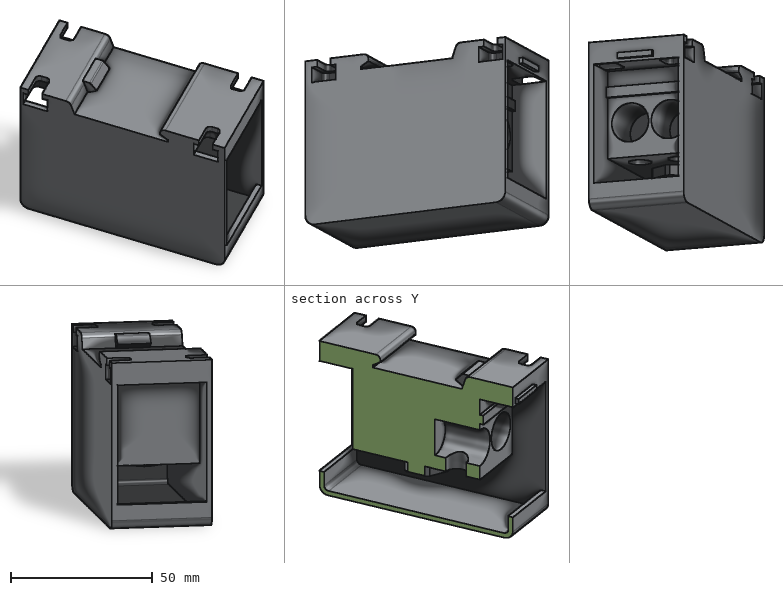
import cadquery as cq
import math

LENGTH = 78.11
WIDTH = 36.0
HEIGHT = 60.0
WALL = 2.0
TOP_THICKNESS = 8.0
BASE_EDGE_RADIUS = 3.5

END_WALL = 2.0
CAVITY_EDGE_RADIUS = 1.75
WINDOW_SILL = 9.0

RECESS_FLOOR = HEIGHT - 5.4
RECESS_START = 20.75
RECESS_END = 56.4
RECESS_SLOPE = math.radians(19.0)
LIP_RADIUS = 2.0
LEFT_EDGE_RADIUS = 2.25
LIP_TIP_X = 53.4
LIP_TIP_BOTTOM = HEIGHT - 2.75
UNDERCUT_TOP = HEIGHT - 4.45

LATCH_WIDTH = 12.0
LATCH_TOP = HEIGHT - 0.6
LATCH_BACK_X = 18.75
LATCH_SHOULDER_X = 21.67
LATCH_SHOULDER_RADIUS = 0.75
LATCH_TIP_X = 24.25
LATCH_TIP_Z = HEIGHT - 3.45
LATCH_FOOT_X = 21.3

SLOT_CENTERS_X = (5.7, 70.9)
SLOT_WIDTH = 5.2
SLOT_DEPTH = 8.0
SLOT_END_RADIUS = 1.6
SLOT_LIP = 2.5
POCKET_MARGIN = 2.05
POCKET_END_RADIUS = 2.05

TAB_LENGTH = 1.5
TAB_WIDTH = 13.0
TAB_BOTTOM = HEIGHT - 6.9
TAB_TOP = HEIGHT - 4.9

BLOCK_INSET = 13.4
BLOCK_BOTTOM = HEIGHT - 39.5
BLOCK_RIB_BOTTOM = HEIGHT - 17.6
BLOCK_RIB_TOP = HEIGHT - 13.9
RIB_PROJECTION = 1.35
BORE_RADIUS = 7.0
BORE_SPACING = 15.0
BORE_Z = HEIGHT - 27.0
BORE_DEPTH = 18.0
SCREW_HOLE_RADIUS = 4.1
SCREW_HOLE_SETBACK = 9.6

HEX_SIDES = 6
HEX_ACROSS_FLATS = 15.8
HEX_CORNER_FLAT = 1.7
HEX_HEIGHT = 3.7

CEILING = HEIGHT - TOP_THICKNESS
INNER_WIDTH = WIDTH - 2 * WALL


def box(x_min, x_max, width, z_min, z_max):
    """Box centred on the middle plane."""
    size = (x_max - x_min, width, z_max - z_min)
    return cq.Workplane("XY").box(*size, centered=(False, True, False)).translate((x_min, 0, z_min))


def extrude_profile(profile, width):
    """Extrude an XZ profile symmetrically about the middle plane."""
    return profile.extrude(width / 2, both=True)


def make_shell():
    shell = box(0, LENGTH, WIDTH, 0, HEIGHT)
    shell = shell.faces("<Z").edges("|Y").fillet(BASE_EDGE_RADIUS)
    cavity = box(END_WALL, LENGTH - END_WALL, INNER_WIDTH, WALL, CEILING)
    cavity = cavity.faces("<Z").edges("|Y").fillet(CAVITY_EDGE_RADIUS)
    windows = box(0, LENGTH, INNER_WIDTH, WINDOW_SILL, CEILING)
    return shell.cut(cavity).cut(windows)


def make_rail_recess():
    turn = math.pi / 2 - RECESS_SLOPE
    corner_x = RECESS_START - (HEIGHT - RECESS_FLOOR) * math.tan(RECESS_SLOPE)
    tangent = LEFT_EDGE_RADIUS * math.tan(turn / 2)
    arc_start_x = corner_x - tangent
    arc_mid = (
        arc_start_x + LEFT_EDGE_RADIUS * math.sin(turn / 2),
        HEIGHT - LEFT_EDGE_RADIUS * (1 - math.cos(turn / 2)),
    )
    arc_end = (
        corner_x + tangent * math.sin(RECESS_SLOPE),
        HEIGHT - tangent * math.cos(RECESS_SLOPE),
    )
    lip_mid_offset = LIP_RADIUS * (1 - math.sqrt(0.5))
    profile = (
        cq.Workplane("XZ")
        .moveTo(arc_start_x, HEIGHT)
        .threePointArc(arc_mid, arc_end)
        .lineTo(RECESS_START, RECESS_FLOOR)
        .lineTo(RECESS_END, RECESS_FLOOR)
        .lineTo(RECESS_END, UNDERCUT_TOP)
        .lineTo(LIP_TIP_X, LIP_TIP_BOTTOM)
        .lineTo(LIP_TIP_X, HEIGHT - LIP_RADIUS)
        .threePointArc(
            (LIP_TIP_X + lip_mid_offset, HEIGHT - lip_mid_offset),
            (LIP_TIP_X + LIP_RADIUS, HEIGHT),
        )
        .close()
    )
    return extrude_profile(profile, WIDTH)


def make_latch():
    profile = (
        cq.Workplane("XZ")
        .moveTo(LATCH_BACK_X, LATCH_TOP)
        .lineTo(LATCH_SHOULDER_X, LATCH_TOP)
        .lineTo(LATCH_TIP_X, LATCH_TIP_Z)
        .lineTo(LATCH_FOOT_X, RECESS_FLOOR)
        .lineTo(LATCH_BACK_X, RECESS_FLOOR)
        .close()
    )
    latch = extrude_profile(profile, LATCH_WIDTH)
    shoulder = cq.selectors.NearestToPointSelector((LATCH_SHOULDER_X, 0, LATCH_TOP))
    return latch.edges(shoulder).fillet(LATCH_SHOULDER_RADIUS)


def make_edge_notch(center_x, width, depth, end_radius, z_min, z_max):
    """Notch running in from the front edge, with rounded inner corners."""
    notch = cq.Workplane("XY").box(width, depth, z_max - z_min, centered=(True, False, False))
    notch = notch.faces(">Y").edges("|Z").fillet(end_radius)
    return notch.translate((center_x, -WIDTH / 2, z_min))


def make_mounting_slot(center_x):
    slot = make_edge_notch(center_x, SLOT_WIDTH, SLOT_DEPTH, SLOT_END_RADIUS, CEILING, HEIGHT)
    pocket = make_edge_notch(
        center_x,
        SLOT_WIDTH + 2 * POCKET_MARGIN,
        SLOT_DEPTH + POCKET_MARGIN,
        POCKET_END_RADIUS,
        CEILING,
        HEIGHT - SLOT_LIP,
    )
    return slot.union(pocket)


def make_tab():
    return box(-TAB_LENGTH, 0, TAB_WIDTH, TAB_BOTTOM, TAB_TOP)


def make_hex_boss():
    across_corners = HEX_ACROSS_FLATS / math.cos(math.pi / HEX_SIDES)
    corner_cut = HEX_CORNER_FLAT / 2 * math.tan(math.pi / HEX_SIDES)
    across_corner_flats = across_corners - 2 * corner_cut
    boss = cq.Workplane("XY").polygon(HEX_SIDES, across_corners).extrude(HEX_HEIGHT)
    band = box(-across_corner_flats / 2, across_corner_flats / 2, 2 * across_corners, 0, HEX_HEIGHT)
    for corner_pair in range(HEX_SIDES // 2):
        turn = 360 / HEX_SIDES * corner_pair
        boss = boss.intersect(band.rotate((0, 0, 0), (0, 0, 1), turn))
    return boss.translate((LENGTH / 2, 0, BLOCK_BOTTOM - HEX_HEIGHT))


def make_terminal_block():
    block = box(BLOCK_INSET, LENGTH - BLOCK_INSET, INNER_WIDTH, BLOCK_BOTTOM, CEILING)
    rib_inset = BLOCK_INSET - RIB_PROJECTION
    rib = box(rib_inset, BLOCK_INSET, INNER_WIDTH, BLOCK_RIB_BOTTOM, BLOCK_RIB_TOP)
    block = block.union(rib)
    for bore_y in (-BORE_SPACING / 2, BORE_SPACING / 2):
        bore = cq.Workplane("YZ").circle(BORE_RADIUS).extrude(BORE_DEPTH)
        block = block.cut(bore.translate((BLOCK_INSET, bore_y, BORE_Z)))
        screw_hole = cq.Workplane("XY").circle(SCREW_HOLE_RADIUS).extrude(BORE_Z - BLOCK_BOTTOM)
        screw_x = BLOCK_INSET + SCREW_HOLE_SETBACK
        block = block.cut(screw_hole.translate((screw_x, bore_y, BLOCK_BOTTOM)))
    return block.union(make_hex_boss())


result = make_shell().cut(make_rail_recess())
for slot_x in SLOT_CENTERS_X:
    front_slot = make_mounting_slot(slot_x)
    result = result.cut(front_slot).cut(front_slot.mirror("XZ"))
result = result.union(make_latch()).union(make_tab()).union(make_terminal_block())